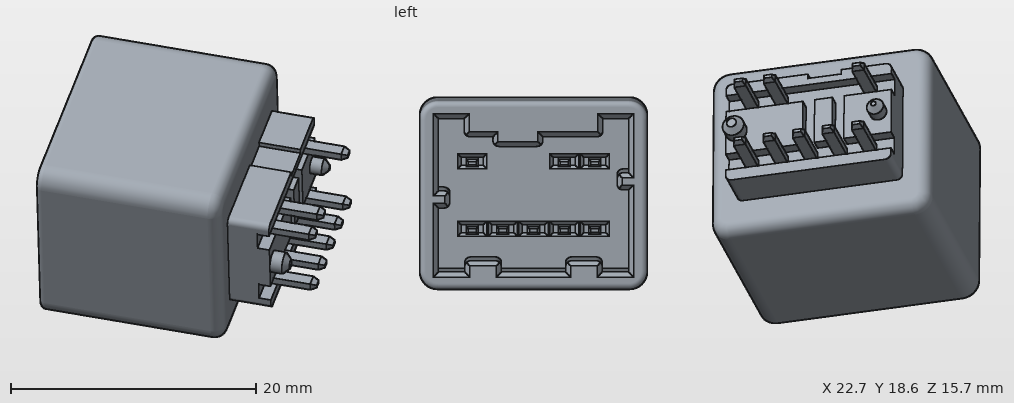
import cadquery as cq

tilt_angle = 1.3

shroud_length = 15.57
shroud_width = 18.6
shroud_height = 15.39
long_edge_radius = 1.5
rim_radius = 0.5
back_radius = 1.0

cavity_depth = 14.1
cavity_width = 15.5
cavity_height = 12.5
mouth_chamfer = 0.4
rib_corner_radius = 0.5

key_width = 11.32
key_drop = 1.48
key_step_width = 4.07
key_step_drop = 2.27
key_step_y = 1.27

floor_rib_width = 3.0
floor_rib_height = 0.9
floor_rib_y = 4.11
side_rib_reach = 0.93
side_rib_height = 1.4
left_side_rib_z = -0.35
right_side_rib_z = 1.14

block_length = 3.5
block_width = 14.0
block_height = 9.0
block_z = -0.3
block_edge_radius = 0.5
pin_groove_depth = 1.0
pin_groove_height = 1.5
top_slot_width = 2.85
top_slot_depth = 0.4
top_slot_y = 1.32

pin_pitch = 2.5
pin_row_spacing = 5.5
pin_width = 1.0
pin_thickness = 0.64
pin_tip_length = 0.5
pin_tip_inset = 0.18
pin_front_x = 7.5
pin_back_x = 22.5
lower_pin_slots = (-2, -1, 0, 1, 2)
unpaired_pin_slots = (0, 1)
upper_pin_slots = [slot for slot in lower_pin_slots if slot not in unpaired_pin_slots]

socket_width = 2.39
socket_height = 1.23
socket_depth = 0.3

post_length = 1.5
post_tip_chamfer = 0.5
left_post_diameter = 1.4
left_post_y = 5.9
right_post_diameter = 1.8
right_post_y = -6.11

block_back_x = shroud_length + block_length
block_top_z = block_z + block_height / 2
pin_places = [(slot * pin_pitch, block_z + pin_row_spacing / 2) for slot in upper_pin_slots]
pin_places += [(slot * pin_pitch, block_z - pin_row_spacing / 2) for slot in lower_pin_slots]


def bar(x_start, x_end, width, height, y=0.0, z=0.0):
    """Box from x_start to x_end with its cross-section centred on (y, z)."""
    length = x_end - x_start
    return cq.Workplane("XY").box(length, width, height).translate((x_start + length / 2, y, z))


def rib_blank(width, height, y, z, rounded):
    """Bar as long as the cavity, with its long edges sharp or rounded."""
    blank = bar(0, cavity_depth, width, height, y, z)
    if rounded:
        blank = blank.edges("|X").fillet(rib_corner_radius)
    return blank


def rectangle_loft(x_start, start_size, x_end, end_size, y, z):
    """Solid blending one centred rectangle (width, height) into another along X."""
    return (
        cq.Workplane("YZ", origin=(x_start, y, z))
        .rect(*start_size)
        .workplane(offset=x_end - x_start)
        .rect(*end_size)
        .loft()
    )


def make_cavity(rounded):
    """Space inside the shroud: each rib blank is centred on the wall it grows from."""
    half_width = cavity_width / 2
    half_height = cavity_height / 2
    cavity = bar(0, cavity_depth, cavity_width, cavity_height)
    cavity = cavity.cut(rib_blank(key_width, 2 * key_drop, 0, half_height, rounded))
    cavity = cavity.cut(rib_blank(key_step_width, 2 * key_step_drop, key_step_y, half_height, rounded))
    for y in (-floor_rib_y, floor_rib_y):
        cavity = cavity.cut(rib_blank(floor_rib_width, 2 * floor_rib_height, y, -half_height, rounded))
    for y, z in ((half_width, left_side_rib_z), (-half_width, right_side_rib_z)):
        cavity = cavity.cut(rib_blank(2 * side_rib_reach, side_rib_height, y, z, rounded))
    return cavity


def make_shroud():
    shroud = bar(0, shroud_length, shroud_width, shroud_height)
    shroud = shroud.edges("|X").fillet(long_edge_radius)
    shroud = shroud.faces("<X").edges().fillet(rim_radius)
    shroud = shroud.faces(">X").edges().fillet(back_radius)
    shroud = shroud.cut(make_cavity(rounded=False))
    mouth_edges = shroud.faces("<X").val().innerWires()[0].Edges()
    shroud = shroud.newObject(mouth_edges).chamfer(mouth_chamfer)
    return shroud.cut(make_cavity(rounded=True))


def make_block():
    block_front_x = (cavity_depth + shroud_length) / 2
    block = bar(block_front_x, block_back_x, block_width, block_height, z=block_z)
    block = block.edges("|X").fillet(block_edge_radius)
    groove_x = block_back_x - pin_groove_depth
    for side in (-1, 1):
        groove_z = block_z + side * pin_row_spacing / 2
        block = block.cut(bar(groove_x, block_back_x, block_width, pin_groove_height, z=groove_z))
    for slot in unpaired_pin_slots:
        channel_y = slot * pin_pitch
        block = block.cut(bar(groove_x, block_back_x, pin_width, pin_row_spacing, channel_y, block_z))
    top_slot = bar(shroud_length, block_back_x, top_slot_width, 2 * top_slot_depth, top_slot_y, block_top_z)
    return block.cut(top_slot)


def make_post(diameter, y):
    return (
        cq.Workplane("YZ", origin=(block_back_x, y, block_z))
        .circle(diameter / 2)
        .extrude(post_length)
        .faces(">X")
        .chamfer(post_tip_chamfer)
    )


def make_socket(y, z):
    floor_size = (socket_width - 2 * socket_depth, socket_height - 2 * socket_depth)
    mouth_size = (socket_width, socket_height)
    return rectangle_loft(cavity_depth, mouth_size, cavity_depth + socket_depth, floor_size, y, z)


def make_pin(y, z):
    full_size = (pin_width, pin_thickness)
    tip_size = (pin_width - 2 * pin_tip_inset, pin_thickness - 2 * pin_tip_inset)
    shank_front_x = pin_front_x + pin_tip_length
    shank_back_x = pin_back_x - pin_tip_length
    shank = bar(shank_front_x, shank_back_x, pin_width, pin_thickness, y, z)
    front_tip = rectangle_loft(pin_front_x, tip_size, shank_front_x, full_size, y, z)
    back_tip = rectangle_loft(shank_back_x, full_size, pin_back_x, tip_size, y, z)
    return shank.union(front_tip).union(back_tip)


header = make_shroud().union(make_block())
header = header.union(make_post(left_post_diameter, left_post_y))
header = header.union(make_post(right_post_diameter, right_post_y))
for place in pin_places:
    header = header.cut(make_socket(*place))
for place in pin_places:
    header = header.union(make_pin(*place))

result = header.rotate((0, 0, 0), (0, 1, 0), -tilt_angle)